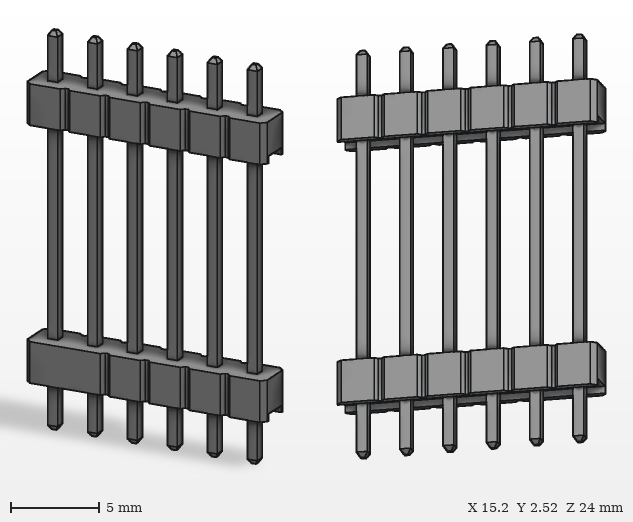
import cadquery as cq

PIN_COUNT = 6
HEADER_LENGTH = 15.25
PITCH = HEADER_LENGTH / PIN_COUNT
HEADER_DEPTH = 2.52
TOTAL_HEIGHT = 24.0

STRIP_HEIGHT = 2.5
PIN_OVERHANG = 3.0
LOWER_STRIP_BASE = PIN_OVERHANG
UPPER_STRIP_BASE = TOTAL_HEIGHT - PIN_OVERHANG - STRIP_HEIGHT
CORNER_CHAMFER = 0.3
CHANNEL_WIDTH = 1.58
CHANNEL_DEPTH = 0.4

NOTCH_WIDTH = 0.6
NOTCH_FLOOR_WIDTH = 0.2
NOTCH_DEPTH = 0.22

PIN_WIDTH = PITCH / 4
TIP_TAPER = 0.187
TIP_LENGTH = 0.3

PIN_POSITIONS = [(i - (PIN_COUNT - 1) / 2) * PITCH for i in range(PIN_COUNT)]
NOTCH_POSITIONS = [x + PITCH / 2 for x in PIN_POSITIONS[:-1]]


def make_notch(x, side):
    """Full-height notch cutter at x; side is -1 for the front face, +1 for the back face."""
    face_y = side * HEADER_DEPTH / 2
    floor_y = face_y - side * NOTCH_DEPTH
    return (
        cq.Workplane("XY")
        .polyline([
            (x - NOTCH_WIDTH / 2, face_y),
            (x - NOTCH_FLOOR_WIDTH / 2, floor_y),
            (x + NOTCH_FLOOR_WIDTH / 2, floor_y),
            (x + NOTCH_WIDTH / 2, face_y),
        ])
        .close()
        .extrude(STRIP_HEIGHT)
    )


def make_strip(base_z, front_notch_positions):
    """Plastic strip with chamfered corners, notched sides and a channel along its underside."""
    strip = (
        cq.Workplane("XY")
        .box(HEADER_LENGTH, HEADER_DEPTH, STRIP_HEIGHT, centered=(True, True, False))
        .edges("|Z")
        .chamfer(CORNER_CHAMFER)
    )
    channel = cq.Workplane("XY").box(
        HEADER_LENGTH, CHANNEL_WIDTH, CHANNEL_DEPTH, centered=(True, True, False)
    )
    strip = strip.cut(channel)
    for x in front_notch_positions:
        strip = strip.cut(make_notch(x, -1))
    for x in NOTCH_POSITIONS:
        strip = strip.cut(make_notch(x, 1))
    return strip.translate((0, 0, base_z))


def make_pin(x):
    """Square pin over the full height, tapered at both ends."""
    return (
        cq.Workplane("XY")
        .box(PIN_WIDTH, PIN_WIDTH, TOTAL_HEIGHT, centered=(True, True, False))
        .faces("<Z or >Z")
        .chamfer(TIP_LENGTH, TIP_TAPER)
        .translate((x, 0, 0))
    )


pin_header = make_strip(LOWER_STRIP_BASE, NOTCH_POSITIONS[1:])
for x in PIN_POSITIONS:
    pin_header = pin_header.union(make_pin(x))

upper_strip = make_strip(UPPER_STRIP_BASE, NOTCH_POSITIONS)
for x in PIN_POSITIONS:
    upper_strip = upper_strip.cut(make_pin(x))

result = cq.Compound.makeCompound([pin_header.val(), upper_strip.val()])